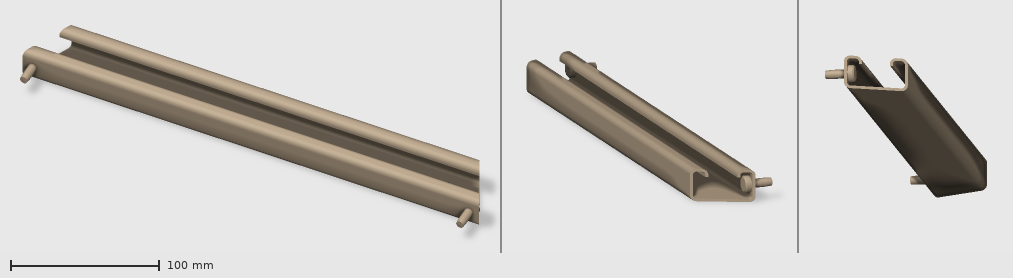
import cadquery as cq
import math

rail_length = 340.0
rail_depth = 40.0
rail_height = 22.5
sheet = 1.87
bend_radius = 4.0
lip_radius = 4.0
flange_reach = 11.2
lip_drop = 5.5
mitre_angle = 25.0
mitre_run = rail_depth * math.tan(math.radians(mitre_angle))

pin_radius = 3.0
pin_projection = 14.0
pin_inset = 7.5
pin_z = rail_height / 2
tip_length = 4.0
tip_radius = 2.7
head_radius = 5.8
head_thickness = 4.5
head_chamfer = 1.0


def flange(wall_y, inward):
    """Top flange with its turned-down lip; inward is the Y direction into the rail."""
    def at(reach):
        return wall_y + inward * reach

    inner_radius = lip_radius - sheet
    bend_start = flange_reach - lip_radius
    bend_z = rail_height - lip_radius
    diagonal = math.sqrt(0.5)
    lip_z = rail_height - lip_drop
    return (
        cq.Workplane("YZ")
        .moveTo(at(bend_radius), rail_height)
        .lineTo(at(bend_start), rail_height)
        .threePointArc((at(bend_start + lip_radius * diagonal), bend_z + lip_radius * diagonal),
                       (at(flange_reach), bend_z))
        .lineTo(at(flange_reach), lip_z)
        .lineTo(at(flange_reach - sheet), lip_z)
        .lineTo(at(flange_reach - sheet), bend_z)
        .threePointArc((at(bend_start + inner_radius * diagonal), bend_z + inner_radius * diagonal),
                       (at(bend_start), rail_height - sheet))
        .lineTo(at(bend_radius), rail_height - sheet)
        .close()
        .extrude(rail_length)
    )


def rounded_bar(inset, radius):
    """Bar along X, inset from the rail envelope, with rounded long edges."""
    return (
        cq.Workplane("YZ")
        .center(rail_depth / 2, rail_height / 2)
        .rect(rail_depth - 2 * inset, rail_height - 2 * inset)
        .extrude(rail_length)
        .edges("|X").fillet(radius)
    )


def make_rail():
    tube = rounded_bar(0, bend_radius).cut(rounded_bar(sheet, bend_radius - sheet))
    top_opening = (
        cq.Workplane("XY", origin=(0, rail_depth / 2, rail_height))
        .box(rail_length, rail_depth - 2 * bend_radius, 2 * sheet, centered=(False, True, True))
    )
    channel = tube.cut(top_opening).union(flange(0, 1)).union(flange(rail_depth, -1))

    mitred_plan = (
        cq.Workplane("XY")
        .polyline([(0, 0), (rail_length, 0),
                   (rail_length - mitre_run, rail_depth), (mitre_run, rail_depth)])
        .close()
        .extrude(rail_height)
    )
    return channel.intersect(mitred_plan)


def make_pin(x):
    """Stud with a chamfered head behind the front wall and a slightly tapered tip."""
    head_back = sheet + head_thickness
    return (
        cq.Workplane("XY")
        .moveTo(0, -pin_projection)
        .lineTo(tip_radius, -pin_projection)
        .lineTo(pin_radius, tip_length - pin_projection)
        .lineTo(pin_radius, sheet)
        .lineTo(head_radius, sheet)
        .lineTo(head_radius, head_back - head_chamfer)
        .lineTo(head_radius - head_chamfer, head_back)
        .lineTo(0, head_back)
        .close()
        .revolve(360, (0, 0, 0), (0, 1, 0))
        .translate((x, 0, pin_z))
    )


def make_pin_hole(x):
    """Bore through the front wall, matching the pin shank."""
    return (
        cq.Workplane("XZ", origin=(x, 0, pin_z))
        .circle(pin_radius)
        .extrude(-sheet)
    )


rail = make_rail()
pins = []
for pin_x in (pin_inset, rail_length - pin_inset):
    rail = rail.cut(make_pin_hole(pin_x))
    pins.append(make_pin(pin_x).val())

result = cq.Compound.makeCompound([rail.val(), *pins])